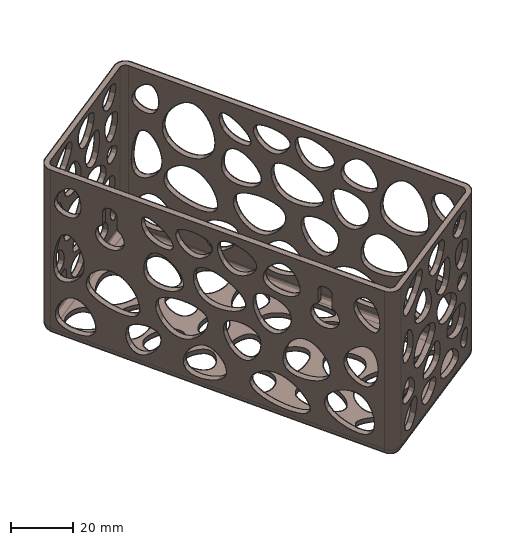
import cadquery as cq


LENGTH = 128.97
WIDTH = 56.17
HEIGHT = 74.89
WALL = 2.0
OUTER_RADIUS = 4.0
INNER_RADIUS = OUTER_RADIUS - WALL

KEYHOLE_X = 39.0
ENTRY_Z = 54.1
ENTRY_RADIUS = 5.2
SLOT_RADIUS = ENTRY_RADIUS / 2
SLOT_LENGTH = 2 * ENTRY_RADIUS

CORNERS = 4
TANGENT_SHARE = 3 / 4

LONG_WALL_PEBBLES = [
    [(5.9, 58.2), (14.2, 64.9), (6.5, 71.4), (0.0, 67.5)],
    [(-14.4, 63.7), (-7.0, 59.3), (-2.2, 67.3), (-12.3, 69.8)],
    [(16.6, 61.1), (24.6, 56.7), (29.9, 62.5), (23.4, 70.5)],
    [(-59.0, 59.8), (-51.6, 57.4), (-49.9, 66.6), (-54.7, 69.0)],
    [(-25.5, 60.9), (-17.2, 58.5), (-18.1, 64.5), (-26.4, 69.0)],
    [(49.6, 61.6), (56.8, 54.6), (58.4, 62.8), (53.5, 68.7)],
    [(-4.2, 41.2), (9.7, 44.1), (3.6, 53.8), (-7.8, 54.0)],
    [(-26.2, 42.7), (-16.6, 40.1), (-12.8, 47.8), (-22.5, 54.7)],
    [(16.0, 40.0), (24.2, 40.3), (25.4, 51.2), (14.0, 52.5)],
    [(-58.2, 27.9), (-49.0, 33.2), (-51.2, 46.3), (-57.6, 44.9)],
    [(45.8, 36.9), (53.3, 28.9), (58.2, 38.0), (53.8, 46.8)],
    [(25.6, 23.6), (39.8, 26.5), (36.2, 38.8), (26.6, 37.0)],
    [(-46.5, 26.5), (-30.4, 22.6), (-31.1, 34.9), (-42.0, 38.3)],
    [(-19.7, 24.2), (-9.2, 22.1), (-4.4, 35.0), (-20.1, 35.7)],
    [(3.9, 25.8), (11.9, 22.0), (15.0, 34.1), (4.0, 36.1)],
    [(41.8, 10.1), (55.5, 8.8), (52.9, 23.6), (40.7, 20.1)],
    [(-8.2, 6.0), (3.0, 11.3), (-3.2, 21.3), (-11.9, 13.5)],
    [(-58.2, 8.4), (-46.5, 6.7), (-45.5, 16.3), (-53.8, 20.4)],
    [(22.2, 6.0), (33.6, 9.9), (22.3, 20.5), (11.8, 12.6)],
    [(-29.9, 6.8), (-21.8, 12.0), (-22.6, 20.0), (-32.5, 16.8)],
]

KEYHOLE_FACING_PEBBLES = [
    [(-39.8, 43.6), (-29.2, 52.7), (-37.0, 68.3), (-48.1, 54.1)],
    [(32.2, 47.5), (46.9, 47.7), (44.7, 65.3), (34.8, 64.3)],
]

SHORT_WALL_PEBBLES = [
    [(-4.4, 64.6), (1.3, 60.7), (5.9, 69.8), (-2.6, 72.0)],
    [(-20.0, 59.0), (-10.2, 66.0), (-12.5, 72.1), (-21.2, 67.2)],
    [(17.2, 62.6), (21.3, 69.0), (16.3, 71.7), (12.2, 67.7)],
    [(3.5, 47.7), (9.0, 49.9), (8.3, 60.4), (0.3, 56.4)],
    [(-9.1, 47.0), (-2.9, 50.3), (-8.3, 60.3), (-14.6, 53.3)],
    [(15.3, 49.5), (20.3, 48.1), (22.0, 56.5), (14.5, 58.7)],
    [(-22.1, 39.4), (-16.3, 40.6), (-17.1, 49.4), (-21.3, 49.7)],
    [(5.0, 33.3), (14.4, 35.6), (8.7, 43.9), (1.2, 43.7)],
    [(18.2, 37.3), (22.2, 40.3), (17.4, 44.5), (15.3, 40.9)],
    [(-14.6, 31.3), (-6.7, 29.2), (-0.5, 37.9), (-11.2, 42.0)],
    [(7.9, 25.7), (16.7, 19.6), (20.4, 28.6), (13.0, 31.6)],
    [(-8.2, 20.1), (1.3, 19.1), (2.0, 28.2), (-4.8, 27.9)],
    [(-22.0, 20.8), (-15.2, 21.0), (-16.8, 28.2), (-21.5, 28.3)],
    [(19.7, 10.1), (21.9, 13.0), (21.1, 18.0), (17.5, 15.1)],
    [(5.5, 8.5), (15.5, 8.5), (11.3, 16.7), (4.5, 15.8)],
    [(-21.6, 12.0), (-17.8, 6.0), (-13.4, 11.9), (-15.2, 17.8)],
    [(-9.9, 13.8), (-6.0, 7.3), (0.2, 12.0), (-4.4, 16.2)],
]

FLOOR_PEBBLES = [
    [(0.9, 18.7), (11.3, 17.3), (16.4, 22.3), (3.5, 22.3)],
    [(-27.5, 11.0), (-21.1, 14.6), (-22.5, 22.4), (-32.1, 19.9)],
    [(39.2, 11.9), (46.8, 19.3), (38.1, 22.7), (30.7, 18.1)],
    [(-54.5, 10.2), (-51.6, 16.3), (-54.0, 22.3), (-58.7, 16.5)],
    [(-14.7, 10.1), (-7.5, 10.5), (-5.3, 18.5), (-14.6, 20.6)],
    [(48.2, 12.6), (50.9, 7.8), (57.0, 14.4), (53.0, 21.4)],
    [(-47.6, 10.0), (-35.5, 8.4), (-36.6, 16.0), (-47.4, 20.4)],
    [(11.8, 10.5), (21.0, 8.1), (29.8, 13.5), (19.4, 18.6)],
    [(-1.1, 3.8), (8.5, 3.4), (6.5, 13.8), (-2.9, 11.1)],
    [(-34.8, 2.2), (-26.4, -1.8), (-24.0, 5.0), (-31.2, 8.1)],
    [(27.1, -3.9), (35.3, -3.3), (35.1, 7.0), (23.7, 4.7)],
    [(-54.2, -7.7), (-44.9, -4.0), (-45.4, 5.2), (-57.1, 5.1)],
    [(38.1, -5.9), (47.9, -13.3), (50.6, -3.0), (43.8, 6.2)],
    [(-19.3, -4.5), (-11.8, -5.2), (-11.6, 3.0), (-16.9, 4.9)],
    [(55.8, -5.1), (58.0, 0.2), (56.2, 5.0), (52.8, 0.3)],
    [(9.8, -7.0), (17.3, -8.9), (18.0, 1.8), (10.2, 0.7)],
    [(-6.0, -9.5), (3.0, -10.5), (2.5, -1.6), (-4.2, 0.1)],
    [(-45.3, -12.3), (-36.4, -19.0), (-33.4, -8.3), (-39.4, -2.7)],
    [(-32.1, -18.3), (-23.3, -20.2), (-19.8, -11.5), (-26.8, -8.8)],
    [(22.8, -17.3), (36.3, -18.7), (38.5, -12.3), (26.6, -8.5)],
    [(0.9, -19.8), (12.4, -21.5), (12.9, -13.0), (2.2, -13.4)],
    [(-17.5, -17.8), (-12.7, -21.5), (-6.6, -18.0), (-11.3, -11.8)],
    [(-59.2, -20.7), (-52.2, -22.2), (-46.9, -16.3), (-55.8, -12.9)],
    [(47.5, -21.7), (57.1, -20.7), (55.5, -13.7), (47.5, -16.8)],
]


def rounded_block(length, width, height, radius):
    """Block standing on Z = 0, rounded on its upright and bottom edges, with a sharp top."""
    block = cq.Workplane("XY").box(length, width, height, centered=(True, True, False))
    return block.edges("|Z").fillet(radius).faces("<Z").edges().fillet(radius)


def open_box():
    outside = rounded_block(LENGTH, WIDTH, HEIGHT, OUTER_RADIUS)
    inside = rounded_block(LENGTH - 2 * WALL, WIDTH - 2 * WALL, HEIGHT - WALL, INNER_RADIUS)
    return outside.cut(inside.translate((0, 0, WALL)))


def add_pebble(sketch, corners):
    """Add the smooth closed curve through a pebble's four corners to the sketch.

    Each corner's tangent runs parallel to the diagonal joining its two neighbours. At the
    chosen share of its length the curvature carries on smoothly from one stretch to the next.
    """
    tangents = []
    for i in range(CORNERS):
        before = cq.Vector(*corners[i - 1])
        after = cq.Vector(*corners[(i + 1) % CORNERS])
        tangents.append((after - before) * TANGENT_SHARE)
    return sketch.spline(
        corners,
        tangents=[(tangent.x, tangent.y) for tangent in tangents],
        periodic=True,
        parameters=range(CORNERS + 1),
        scale=False,
        makeWire=True,
    )


def pebble_prisms(plane, pebbles, distance, both=False):
    """Prisms of the pebbles, extruded along the plane's normal."""
    sketch = cq.Workplane(plane)
    for corners in pebbles:
        sketch = add_pebble(sketch, corners)
    return sketch.extrude(distance, both=both)


def keyhole_prism(x):
    """Keyhole that runs from the middle of the box out through the -Y wall."""
    sketch = cq.Workplane("XZ").center(x, ENTRY_Z)
    entry = sketch.circle(ENTRY_RADIUS).extrude(WIDTH)
    slot = sketch.rect(2 * SLOT_RADIUS, SLOT_LENGTH, centered=(True, False)).extrude(WIDTH)
    slot_end = sketch.center(0, SLOT_LENGTH).circle(SLOT_RADIUS).extrude(WIDTH)
    return entry.union(slot).union(slot_end)


result = open_box()

result = result.cut(pebble_prisms("XZ", LONG_WALL_PEBBLES, WIDTH, both=True))
result = result.cut(pebble_prisms("YZ", SHORT_WALL_PEBBLES, LENGTH, both=True))

result = result.cut(pebble_prisms("XY", FLOOR_PEBBLES, WALL))

result = result.cut(pebble_prisms("XZ", KEYHOLE_FACING_PEBBLES, -WIDTH))
for side in (-1, 1):
    result = result.cut(keyhole_prism(side * KEYHOLE_X))